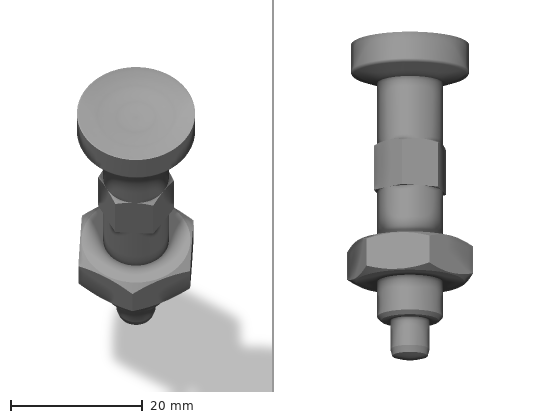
import cadquery as cq
import math


total_height = 49.0
knob_diameter = 18.0
knob_base_z = 43.0
knob_cone_angle = 20.0
knob_edge_radius = 0.5
dish_rim_width = 0.2
dish_depth = 1.0

body_diameter = 10.0
sleeve_bottom_z = 6.0
sleeve_chamfer = 0.6

pin_diameter = 6.0
pin_taper_top_z = 1.5
pin_taper_inset = 0.3
pin_dome_height = 0.5

collar_across_flats = body_diameter
collar_bottom_z = 26.0
collar_top_z = 33.4
collar_face_diameter = 9.8

nut_across_flats = 17.0
nut_bottom_z = 12.0
nut_thickness = 6.0
nut_face_diameter = 16.55

hex_chamfer_angle = 30.0


def revolve_profile(outline):
    """Revolve a closed (radius, z) outline about the Z axis."""
    return outline.close().revolve(360, (0, 0), (0, 1))


def cap_sphere_radius(rim_radius, height):
    """Radius of the sphere whose cap has this rim radius and height."""
    return (rim_radius**2 + height**2) / (2 * height)


def across_corners(across_flats):
    return across_flats / math.cos(math.radians(30))


def hexagon(across_flats, bottom_z, top_z, corner_on_y=False):
    """Hexagonal prism with two corners on the X axis, or on the Y axis."""
    prism = (
        cq.Workplane("XY", origin=(0, 0, bottom_z))
        .polygon(6, across_corners(across_flats))
        .extrude(top_z - bottom_z)
    )
    if corner_on_y:
        prism = prism.rotate((0, 0, 0), (0, 0, 1), 90)
    return prism


def corner_cutter(across_flats, face_diameter, face_z, inward):
    """Ring that bevels the corners of a hexagon at one end; inward is +1 or -1 along Z."""
    face_radius = face_diameter / 2
    outer_radius = across_corners(across_flats)
    drop = (outer_radius - face_radius) * math.tan(math.radians(hex_chamfer_angle))
    outline = (
        cq.Workplane("XZ")
        .moveTo(face_radius, face_z)
        .lineTo(outer_radius, face_z)
        .lineTo(outer_radius, face_z + inward * drop)
    )
    return revolve_profile(outline)


def make_spindle():
    """Pin, sleeve and stem as one turned body."""
    body_radius = body_diameter / 2
    pin_radius = pin_diameter / 2
    dome_radius = pin_radius - pin_taper_inset
    outline = (
        cq.Workplane("XZ")
        .moveTo(0, 0)
        .radiusArc((dome_radius, pin_dome_height), -cap_sphere_radius(dome_radius, pin_dome_height))
        .lineTo(pin_radius, pin_taper_top_z)
        .lineTo(pin_radius, sleeve_bottom_z)
        .lineTo(body_radius - sleeve_chamfer, sleeve_bottom_z)
        .lineTo(body_radius, sleeve_bottom_z + sleeve_chamfer)
        .lineTo(body_radius, knob_base_z)
        .lineTo(0, knob_base_z)
    )
    return revolve_profile(outline)


def make_knob():
    """Round knob with a conical underside, a rounded lower edge and a shallow spherical dish on top."""
    knob_radius = knob_diameter / 2
    stem_radius = body_diameter / 2
    cone_angle = math.radians(knob_cone_angle)
    cone_top_z = knob_base_z + (knob_radius - stem_radius) * math.tan(cone_angle)

    tangent_length = knob_edge_radius * math.tan((math.pi / 2 - cone_angle) / 2)
    arc_start = (
        knob_radius - tangent_length * math.cos(cone_angle),
        cone_top_z - tangent_length * math.sin(cone_angle),
    )
    arc_end = (knob_radius, cone_top_z + tangent_length)

    dish_radius = knob_radius - dish_rim_width

    outline = (
        cq.Workplane("XZ")
        .moveTo(0, knob_base_z)
        .lineTo(stem_radius, knob_base_z)
        .lineTo(*arc_start)
        .radiusArc(arc_end, -knob_edge_radius)
        .lineTo(knob_radius, total_height)
        .lineTo(dish_radius, total_height)
        .radiusArc((0, total_height - dish_depth), cap_sphere_radius(dish_radius, dish_depth))
    )
    return revolve_profile(outline)


def make_collar():
    collar = hexagon(collar_across_flats, collar_bottom_z, collar_top_z, corner_on_y=True)
    return collar.cut(corner_cutter(collar_across_flats, collar_face_diameter, collar_top_z, -1))


def make_nut():
    nut_top_z = nut_bottom_z + nut_thickness
    nut = hexagon(nut_across_flats, nut_bottom_z, nut_top_z)
    for face_z, inward in ((nut_bottom_z, 1), (nut_top_z, -1)):
        nut = nut.cut(corner_cutter(nut_across_flats, nut_face_diameter, face_z, inward))
    return nut


result = make_spindle().union(make_knob()).union(make_collar()).union(make_nut())